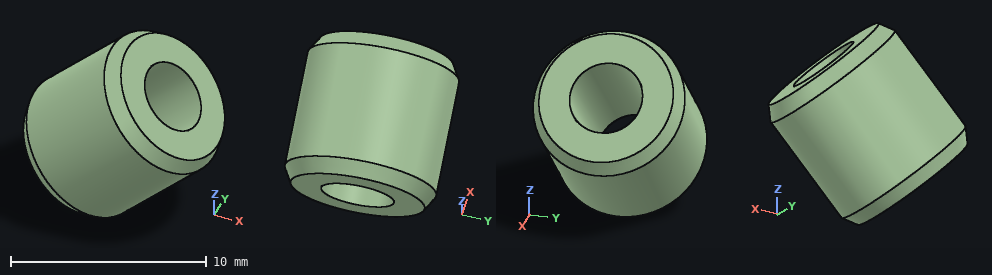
import cadquery as cq
import math

overall_size = 10.39
outer_diameter = 7.92
bore_diameter = 3.8
chamfer_length = 0.79
chamfer_angle = 30.0
tilt_angle = 45.0

outer_radius = outer_diameter / 2
bore_radius = bore_diameter / 2
face_radius = outer_radius - chamfer_length * math.tan(math.radians(chamfer_angle))
bush_length = overall_size * math.sqrt(2) - 2 * face_radius
half_length = bush_length / 2
shoulder_height = half_length - chamfer_length

section = (
    cq.Workplane("XZ")
    .polyline([
        (bore_radius, -half_length),
        (face_radius, -half_length),
        (outer_radius, -shoulder_height),
        (outer_radius, shoulder_height),
        (face_radius, half_length),
        (bore_radius, half_length),
    ])
    .close()
)

upright_bush = section.revolve(360, (0, 0), (0, 1))
result = upright_bush.rotate((0, 0, 0), (0, 1, 0), tilt_angle)